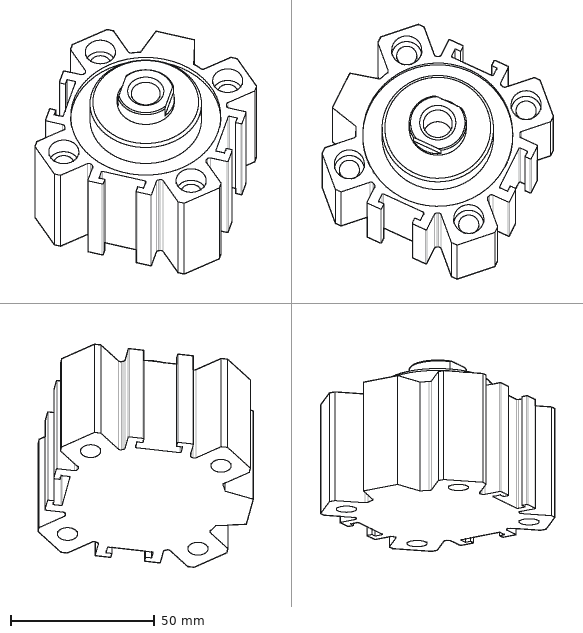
import cadquery as cq
import math

overall_depth = 71
tube_height = 40.0
collar_top = 48.0
rod_top = 54.0

core_radius = 28.7
notch_fillet = 1.0

envelope_half = 33.5
lug_angle = 45
lug_width = 17.2
lug_reach = 40.4
bolt_offset = 23.15
bolt_hole_diameter = 7.0
counterbore_diameter = 10.5
counterbore_depth = 6.5

rail_reach = 33.2
rail_half_width = 11.6
slot_floor = 27.75
slot_half_width = 8.1
lip_inner = 30.95
mouth_half_width = 5.95
slot_fillet = 0.4
rail_edge_fillet = 0.35
rail_angles = [90, 180, 270]

port_reach = overall_depth - envelope_half
port_top_half_width = 7.0
port_base_half_width = 9.65
port_base_reach = 27.0

recess_diameter = 52.5
recess_depth = 2.0
collar_diameter = 39.0
collar_chamfer = 1.0

rod_diameter = 20.0
rod_bottom = 10.0
rod_chamfer = 0.5
flat_spacing = 17.0
flat_height = 4.4
socket_diameter = 10.1
socket_mouth_diameter = 12.65
socket_depth = 15.0
countersink_angle = 45

rail_corner = (rail_half_width, math.sqrt(core_radius**2 - rail_half_width**2))
lug_half_width = lug_width / 2
lug_flank_length = math.sqrt(core_radius**2 - lug_half_width**2)
lug_corner = (
    (lug_flank_length - lug_half_width) / math.sqrt(2),
    (lug_flank_length + lug_half_width) / math.sqrt(2),
)


def mirror_pair(point):
    """The point and its mirror image across the Y axis."""
    x, y = point
    return [(x, y), (-x, y)]


def turned_point(point, angle):
    """Turn an (x, y) point about the tube axis."""
    x, y = point
    cosine = math.cos(math.radians(angle))
    sine = math.sin(math.radians(angle))
    return (x * cosine - y * sine, x * sine + y * cosine)


def turned_solid(solid, angle):
    """Turn a solid about the tube axis."""
    return solid.rotate((0, 0, 0), (0, 0, 1), angle)


def fillet_upright_edges(solid, points, radius):
    """Round the vertical tube edges that pass through the given (x, y) points."""
    edges = cq.Workplane(obj=solid.val())
    picked = []
    for x, y in points:
        nearest = cq.selectors.NearestToPointSelector((x, y, tube_height / 2))
        picked += edges.edges("|Z").edges(nearest).vals()
    return solid.newObject(picked).fillet(radius)


def make_lugs():
    bar = cq.Workplane("XY").rect(2 * lug_reach, lug_width).extrude(tube_height)
    cross = turned_solid(bar, lug_angle).union(turned_solid(bar, -lug_angle))
    envelope = cq.Workplane("XY").rect(2 * envelope_half, 2 * envelope_half).extrude(tube_height)
    return cross.intersect(envelope)


def make_rail():
    """Solid rail on the +Y side, starting at the tube axis, before its T-slot is cut."""
    rail = (
        cq.Workplane("XY")
        .rect(2 * rail_half_width, rail_reach)
        .extrude(tube_height)
        .translate((0, rail_reach / 2, 0))
    )
    return fillet_upright_edges(rail, mirror_pair((rail_half_width, rail_reach)), rail_edge_fillet)


def make_slot():
    """T-slot of the +Y side, with rounded floor corners."""
    outline = [
        (slot_half_width, slot_floor),
        (slot_half_width, lip_inner),
        (mouth_half_width, lip_inner),
        (mouth_half_width, rail_reach),
    ]
    mirrored = [(-x, y) for x, y in reversed(outline)]
    slot = cq.Workplane("XY").polyline(outline + mirrored).close().extrude(tube_height)
    return fillet_upright_edges(slot, mirror_pair(outline[0]), slot_fillet)


def make_port_block():
    outline = [
        (0, 0),
        (port_base_half_width, port_base_reach),
        (port_top_half_width, port_reach),
    ]
    mirrored = [(-x, y) for x, y in reversed(outline[1:])]
    return cq.Workplane("XY").polyline(outline + mirrored).close().extrude(tube_height)


def make_tube_profile():
    core = cq.Workplane("XY").circle(core_radius).extrude(tube_height)
    profile = core.union(make_lugs()).union(make_port_block())
    rail = make_rail()
    slot = make_slot()
    notch_corners = mirror_pair(lug_corner)
    mouth_corners = []
    for angle in rail_angles:
        profile = profile.union(turned_solid(rail, angle))
        profile = profile.cut(turned_solid(slot, angle))
        mouth_corners += [turned_point(corner, angle) for corner in mirror_pair((mouth_half_width, rail_reach))]
        side_corners = mirror_pair(rail_corner) + mirror_pair(lug_corner)
        notch_corners += [turned_point(corner, angle) for corner in side_corners]
    profile = fillet_upright_edges(profile, mouth_corners, rail_edge_fillet)
    return fillet_upright_edges(profile, notch_corners, notch_fillet)


def make_tube():
    """Cylinder tube with its mounting holes, rod collar and blind rod hole."""
    recess_floor = tube_height - recess_depth
    bolt_square = 2 * bolt_offset
    tube = (
        make_tube_profile()
        .faces(">Z")
        .workplane(origin=(0, 0, tube_height))
        .rect(bolt_square, bolt_square, forConstruction=True)
        .vertices()
        .cboreHole(bolt_hole_diameter, counterbore_diameter, counterbore_depth)
    )
    recess = cq.Workplane("XY", origin=(0, 0, recess_floor)).circle(recess_diameter / 2).extrude(recess_depth)
    collar = (
        cq.Workplane("XY", origin=(0, 0, recess_floor))
        .circle(collar_diameter / 2)
        .extrude(collar_top - recess_floor)
        .faces(">Z")
        .chamfer(collar_chamfer)
    )
    rod_hole = cq.Workplane("XY", origin=(0, 0, rod_bottom)).circle(rod_diameter / 2).extrude(rod_top - rod_bottom)
    return tube.cut(recess).union(collar).cut(rod_hole)


def make_rod():
    """Piston rod with two wrench flats and a countersunk blind socket."""
    rod = (
        cq.Workplane("XY", origin=(0, 0, rod_bottom))
        .circle(rod_diameter / 2)
        .extrude(rod_top - rod_bottom)
        .faces(">Z")
        .chamfer(rod_chamfer)
    )
    head = cq.Workplane("XY", origin=(0, 0, rod_top - flat_height))
    between_flats = head.rect(flat_spacing, rod_diameter).extrude(flat_height)
    outside_flats = head.circle(rod_diameter / 2).extrude(flat_height).cut(between_flats)
    socket = cq.Workplane("XY", origin=(0, 0, rod_top)).circle(socket_diameter / 2).extrude(-socket_depth)
    countersink_width = (socket_mouth_diameter - socket_diameter) / 2
    countersink_depth = countersink_width / math.tan(math.radians(countersink_angle))
    countersink = (
        cq.Workplane("XY", origin=(0, 0, rod_top))
        .circle(socket_mouth_diameter / 2)
        .extrude(-countersink_depth, taper=countersink_angle)
    )
    return rod.cut(outside_flats).cut(socket).cut(countersink)


tube = make_tube()
rod = make_rod()
result = cq.Compound.makeCompound([tube.val(), rod.val()])